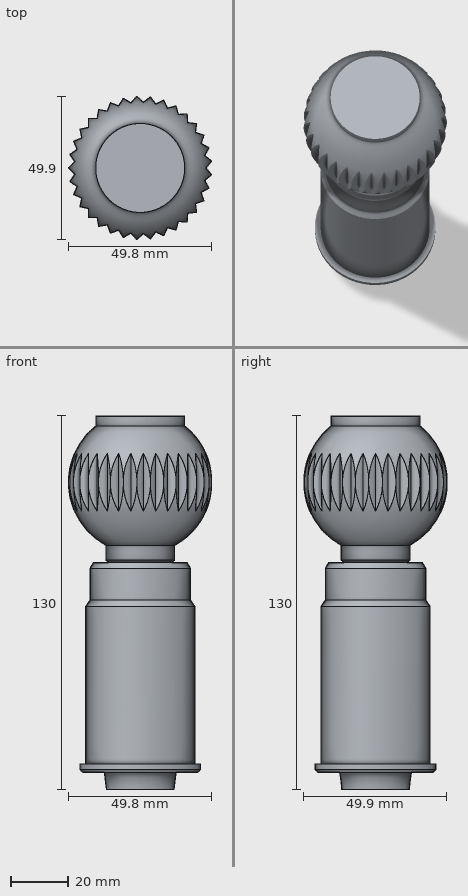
import cadquery as cq
import math

NOSE_HEIGHT = 6.0
NOSE_TAPER = math.radians(7)
NOSE_ROOT_RADIUS = 12.5

FLANGE_RADIUS = 21.0
FLANGE_THICKNESS = 3.0
FLANGE_CHAMFER = 1.0

BARREL_RADIUS = 19.0
COLLAR_RADIUS = 17.5
SHOULDER_Z = 66.0
SLEEVE_TOP_Z = 79.0
COLLAR_CHAMFER = 1.15
CHAMFER_SLOPE = math.tan(math.radians(60))
SHOULDER_HEIGHT = 2.25

NECK_RADIUS = 12.0
NECK_CHAMFER = 1.0
BALL_RADIUS = 25.0
BALL_CENTRE_Z = 107.0
CAP_RADIUS = 15.5
CAP_TOP_Z = 130.0

GROOVE_COUNT = 33
GROOVE_ROOT_RADIUS = 22.9
CREST_RADIUS = 24.963

nose_tip_radius = NOSE_ROOT_RADIUS - NOSE_HEIGHT * math.tan(NOSE_TAPER)
flange_top_z = NOSE_HEIGHT + FLANGE_THICKNESS
barrel_top_z = SHOULDER_Z - SHOULDER_HEIGHT
collar_edge_z = SLEEVE_TOP_Z - COLLAR_CHAMFER * CHAMFER_SLOPE
neck_top_z = BALL_CENTRE_Z - math.sqrt(BALL_RADIUS**2 - NECK_RADIUS**2)
cap_base_z = BALL_CENTRE_Z + math.sqrt(BALL_RADIUS**2 - CAP_RADIUS**2)


def make_sleeve():
    """Flanged, stepped sleeve with a tapering nose below the flange."""
    return (
        cq.Workplane("XZ")
        .moveTo(0, 0)
        .lineTo(nose_tip_radius, 0)
        .lineTo(NOSE_ROOT_RADIUS, NOSE_HEIGHT)
        .lineTo(FLANGE_RADIUS - FLANGE_CHAMFER, NOSE_HEIGHT)
        .lineTo(FLANGE_RADIUS, NOSE_HEIGHT + FLANGE_CHAMFER)
        .lineTo(FLANGE_RADIUS, flange_top_z)
        .lineTo(BARREL_RADIUS, flange_top_z)
        .lineTo(BARREL_RADIUS, barrel_top_z)
        .lineTo(COLLAR_RADIUS, SHOULDER_Z)
        .lineTo(COLLAR_RADIUS, collar_edge_z)
        .lineTo(COLLAR_RADIUS - COLLAR_CHAMFER, SLEEVE_TOP_Z)
        .lineTo(0, SLEEVE_TOP_Z)
        .close()
        .revolve(360, (0, 0, 0), (0, 1, 0))
    )


def make_groove_cutter():
    """Upright V-shaped prism on the +X side, with its flanks running out past the ball."""
    half_pitch = math.pi / GROOVE_COUNT
    crest_x = CREST_RADIUS * math.cos(half_pitch)
    crest_y = CREST_RADIUS * math.sin(half_pitch)
    outer_x = BALL_RADIUS + 1
    outer_y = crest_y * (outer_x - GROOVE_ROOT_RADIUS) / (crest_x - GROOVE_ROOT_RADIUS)
    return (
        cq.Workplane("XY")
        .polyline([(GROOVE_ROOT_RADIUS, 0), (outer_x, outer_y), (outer_x, -outer_y)])
        .close()
        .extrude(BALL_RADIUS / 2, both=True)
        .translate((0, 0, BALL_CENTRE_Z))
    )


def make_knob():
    """Ball knob with a cap disc, a chamfered neck and V grooves around its equator."""
    knob = (
        cq.Workplane("XZ")
        .moveTo(0, SLEEVE_TOP_Z)
        .lineTo(NECK_RADIUS - NECK_CHAMFER, SLEEVE_TOP_Z)
        .lineTo(NECK_RADIUS, SLEEVE_TOP_Z + NECK_CHAMFER)
        .lineTo(NECK_RADIUS, neck_top_z)
        .threePointArc((BALL_RADIUS, BALL_CENTRE_Z), (CAP_RADIUS, cap_base_z))
        .lineTo(CAP_RADIUS, CAP_TOP_Z)
        .lineTo(0, CAP_TOP_Z)
        .close()
        .revolve(360, (0, 0, 0), (0, 1, 0))
    )
    cutter = make_groove_cutter()
    for i in range(GROOVE_COUNT):
        angle = i * 360 / GROOVE_COUNT
        knob = knob.cut(cutter.rotate((0, 0, 0), (0, 0, 1), angle))
    return knob


sleeve = make_sleeve()
knob = make_knob()
result = cq.Compound.makeCompound([sleeve.val(), knob.val()])